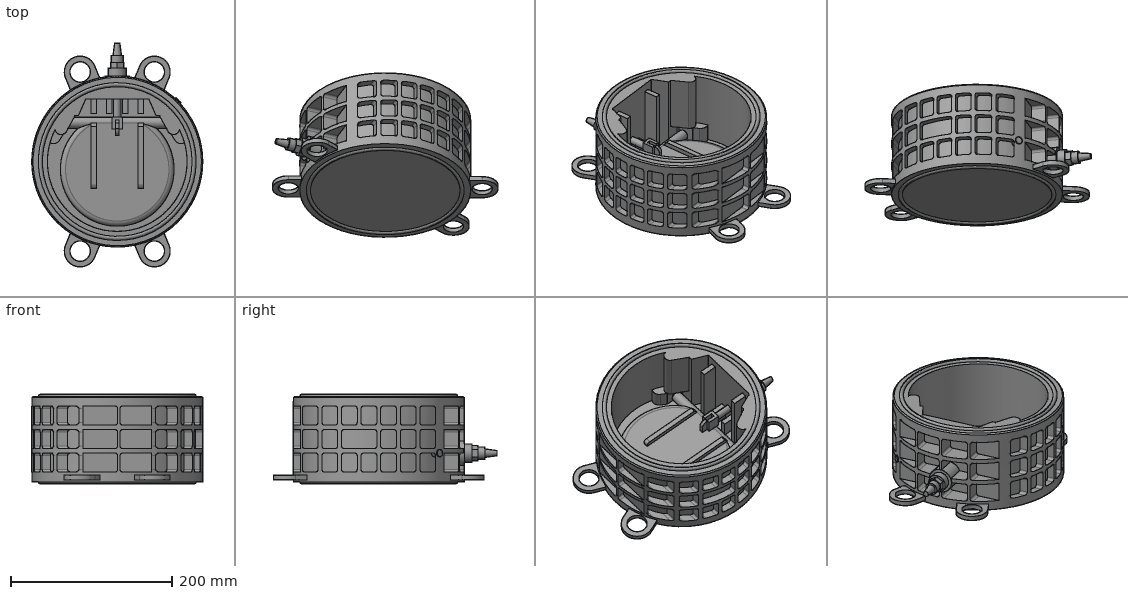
import cadquery as cq
import math

outer_radius = 106.0
body_height = 106.0
rim_chamfer = 1.7
bore_radius = 86.5
bead_outer_radius = 195.7 / 2
bead_inner_radius = 185.5 / 2
floor_z = -40.2
top_z = body_height / 2
bead_section_radius = (bead_outer_radius - bead_inner_radius) / 2
bead_center_radius = (bead_outer_radius + bead_inner_radius) / 2

rear_wall_y = 77.5
rear_wall_half_width = 39.0
shoulder_y = 57.2
shoulder_inner_x = 48.0
shoulder_outer_x = 52.2
ledge_z = -17.8
hinge_seat_half_length = 66.5
nose_start = (-62.7, 37.7)
nose_tip = (-71.0, 33.5)
nose_end = (-77.2, 40.5)
pad_start_y = 34.5
pad_corner = (-71.3, 26.6)
pad_round = (-76.0, 22.8)
pad_end = (-82.7, 23.0)
rear_recess_y = 55.0
rear_recess_depth = 4.2
overlap = 2.2

pocket_height = 23.5
pocket_corner_radius = 3.3
row_pitch = 29.1
pocket_rows = (-row_pitch, 0, row_pitch)
side_rib = 4.7
side_column_steps = (-3.5, -2.5, -1.5, -0.5, 0.5, 1.5, 2.5)
pocket_floor_radius = 97.1
side_pitch = pocket_floor_radius / 4
pocket_reach = outer_radius + 11.0
end_rib = 3.0
front_rib_x = 2.0
rear_pocket_floor_y = 81.0
rear_rib_x = 36.0
front_ribs = (front_rib_x,)
rear_ribs = (-rear_rib_x, 0, rear_rib_x)

lug_angle = 22.5
lug_center_radius = 120.2
lug_radius = 19.7
lug_hole_radius = 12.5
lug_thickness = 5.8
lug_bottom_z = -50.5

plate_thickness = 6.5
plate_end_y = 59.5
outer_plate_x = 29.1
outer_plate_top_z = 41.5
inner_plate_x = 10.0
inner_plate_top_z = -21.6

fitting_z = -17.5
rod_diameter = 9.2
boss_diameter = 30.5
boss_end_y = outer_radius
collar_diameter = 22.8
collar_end_y = 115.7
hex_width = 16.7
hex_end_y = 123.0
neck_diameter = 15.3
neck_end_y = 131.5
barb_base_diameter = 10.8
barb_tip_diameter = 6.7
tip_y = 146.8
fork_width = 12.5
fork_rear_y = 55.2
fork_front_y = 40.2
fork_slot_rear_y = 51.3

stud_diameter = 9.2
stud_reach = 107.5
stud_angle = 45

flap_radius = 70.5
flap_edge_radius = 6.5
flap_center_y = -9.7
hinge_diameter = 13.5
hinge_y = 47.7
hinge_z = floor_z + hinge_diameter / 2
flap_top_z = floor_z + hinge_diameter
fork_height = 2 * (fitting_z - flap_top_z)
flap_rib_x = 29.1
flap_rib_width = 6.5
flap_rib_front_y = -33.3
flap_rib_height = 5.8
flap_rib_end = 4.2
shaft_chamfer = 1.0
lever_width = 4.5
lever_front_y = 32.5
lever_slope_top_y = 41.0
lever_top_z = -10.0
lever_round = 7.0


def box(x_range, y_range, z_range):
    """Box between two limits along each axis."""
    size = [high - low for low, high in (x_range, y_range, z_range)]
    low_corner = (x_range[0], y_range[0], z_range[0])
    return cq.Workplane("XY").box(*size, centered=False).translate(low_corner)


def cylinder_z(radius, bottom, top):
    """Upright cylinder on the housing axis."""
    return cq.Workplane("XY").workplane(offset=bottom).circle(radius).extrude(top - bottom)


def cylinder_y(diameter, start, end):
    """Cylinder along Y on the axis of the air fitting."""
    plane = cq.Workplane("XZ", origin=(0, start, fitting_z))
    return plane.circle(diameter / 2).extrude(start - end)


def make_bead(z):
    """Full ring whose outer half stands proud of an end face."""
    section = cq.Workplane("XZ").center(bead_center_radius, z).circle(bead_section_radius)
    return section.revolve(360, (-bead_center_radius, 0, 0), (-bead_center_radius, 1, 0))


def rear_block_half():
    """Solid left of the rear opening, running into the shell behind the bore."""
    buried_radius = bore_radius + overlap
    nose_root_x = nose_end[0] - overlap
    nose_root_y = math.sqrt(buried_radius**2 - nose_root_x**2)
    diagonal = buried_radius / math.sqrt(2)
    profile = (
        cq.Workplane("XY", origin=(0, 0, floor_z))
        .moveTo(0, buried_radius)
        .lineTo(0, rear_wall_y)
        .lineTo(-rear_wall_half_width, rear_wall_y)
        .lineTo(-shoulder_inner_x, shoulder_y)
        .lineTo(-shoulder_outer_x, shoulder_y)
        .lineTo(*nose_start)
        .threePointArc(nose_tip, nose_end)
        .lineTo(nose_root_x, nose_root_y)
        .threePointArc((-diagonal, diagonal), (0, buried_radius))
        .close()
    )
    return profile.extrude(top_z - floor_z)


def hinge_pad():
    """Low pad below the nose, at the end of the hinge seat."""
    profile = (
        cq.Workplane("XY", origin=(0, 0, floor_z))
        .moveTo(-hinge_seat_half_length, shoulder_y)
        .lineTo(-hinge_seat_half_length, pad_start_y)
        .lineTo(*pad_corner)
        .threePointArc(pad_round, pad_end)
        .lineTo(-bore_radius, pad_end[1])
        .lineTo(-bore_radius, pad_start_y)
        .lineTo(*nose_end)
        .close()
    )
    return profile.extrude(ledge_z - floor_z)


def rear_recess():
    """Shallow recess in the floor between the hinge shaft and the rear wall."""
    profile = (
        cq.Workplane("XY", origin=(0, 0, floor_z))
        .moveTo(-shoulder_outer_x, rear_recess_y)
        .lineTo(-shoulder_outer_x, shoulder_y)
        .lineTo(-shoulder_inner_x, shoulder_y)
        .lineTo(-rear_wall_half_width, rear_wall_y)
        .lineTo(rear_wall_half_width, rear_wall_y)
        .lineTo(shoulder_inner_x, shoulder_y)
        .lineTo(shoulder_outer_x, shoulder_y)
        .lineTo(shoulder_outer_x, rear_recess_y)
        .close()
    )
    return profile.extrude(-rear_recess_depth)


def rear_block():
    """Both halves of the thick rear part, with the hinge seat cut under them."""
    half = rear_block_half()
    seat = box((-hinge_seat_half_length, 0), (0, shoulder_y), (floor_z, ledge_z))
    half = half.cut(seat).union(hinge_pad())
    return half.union(half.mirror("YZ"))


def rounded_pocket(x_range, y_range, row_z, direction):
    """Pocket tool with rounded corners along its cutting direction."""
    z_range = (row_z - pocket_height / 2, row_z + pocket_height / 2)
    return box(x_range, y_range, z_range).edges("|" + direction).fillet(pocket_corner_radius)


def cut_pockets(body, pockets):
    """Cut a list of separate pocket tools out of the housing at once."""
    return body.cut(cq.Workplane(cq.Compound.makeCompound([pocket.val() for pocket in pockets])))


def cut_side_pockets(body):
    """Pockets cut along X down to a round floor, on both sides."""
    core = cylinder_z(pocket_floor_radius, -top_z, top_z)
    half_width = (side_pitch - side_rib) / 2
    pockets = []
    for row_z in pocket_rows:
        for step in side_column_steps:
            y_range = (step * side_pitch - half_width, step * side_pitch + half_width)
            pocket = rounded_pocket((-pocket_reach, pocket_reach), y_range, row_z, "X")
            pockets.append(pocket.cut(core))
    return cut_pockets(body, pockets)


def cut_wide_pocket(body):
    """Double-width pocket in the middle row of the +X side."""
    core = cylinder_z(pocket_floor_radius, -top_z, top_z)
    y_range = (-2 * side_pitch + side_rib / 2, -side_rib / 2)
    pocket = rounded_pocket((0, pocket_reach), y_range, 0, "X")
    return body.cut(pocket.cut(core))


def cut_end_pockets(body, y_range, rib_places):
    """Flat-floored pockets cut along Y and parted by upright ribs."""
    limits = [-pocket_reach]
    for x in rib_places:
        limits += [x - end_rib / 2, x + end_rib / 2]
    limits.append(pocket_reach)
    pockets = []
    for row_z in pocket_rows:
        for x_range in zip(limits[::2], limits[1::2]):
            pockets.append(rounded_pocket(x_range, y_range, row_z, "Y"))
    return cut_pockets(body, pockets)


def make_lug():
    """Lug pointing along -Y, with its shank running into the shell."""
    shank_length = lug_center_radius - bead_inner_radius
    start = cq.Workplane("XY", origin=(0, -lug_center_radius, lug_bottom_z))
    shank = start.center(0, shank_length / 2).rect(2 * lug_radius, shank_length).extrude(lug_thickness)
    return shank.union(start.circle(lug_radius).extrude(lug_thickness))


def add_lugs(body):
    """Four lugs, two in front and two behind, each with a through hole."""
    lug = make_lug().cut(
        cq.Workplane("XY", origin=(0, -lug_center_radius, lug_bottom_z))
        .circle(lug_hole_radius)
        .extrude(lug_thickness)
    )
    for angle in (-lug_angle, lug_angle, 180 - lug_angle, 180 + lug_angle):
        body = body.union(lug.rotate((0, 0, 0), (0, 0, 1), angle))
    return body


def rear_plates():
    """Two tall outer plates and two low inner plates on the rear wall."""
    foot_z = floor_z - rear_recess_depth
    plates = []
    for x, plate_top in ((outer_plate_x, outer_plate_top_z), (inner_plate_x, inner_plate_top_z)):
        for center in (-x, x):
            x_range = (center - plate_thickness / 2, center + plate_thickness / 2)
            plates.append(box(x_range, (plate_end_y, rear_wall_y + overlap), (foot_z, plate_top)))
    return plates


def make_stud():
    """Short round stud on the outside of the shell."""
    stud = cq.Workplane("YZ", origin=(pocket_floor_radius, 0, fitting_z)).circle(stud_diameter / 2)
    return stud.extrude(stud_reach - pocket_floor_radius).rotate((0, 0, 0), (0, 0, 1), stud_angle)


def make_housing():
    body = cylinder_z(outer_radius, -top_z, top_z).faces(">Z").edges().chamfer(rim_chamfer)
    body = body.cut(cylinder_z(bore_radius, floor_z, top_z))
    body = body.union(rear_block())
    body = body.cut(rear_recess())
    body = cut_side_pockets(body)
    body = cut_wide_pocket(body)
    body = cut_end_pockets(body, (-pocket_reach, -pocket_floor_radius), front_ribs)
    body = cut_end_pockets(body, (rear_pocket_floor_y, pocket_reach), rear_ribs)
    for plate in rear_plates():
        body = body.union(plate)
    body = body.union(cylinder_y(boss_diameter, rear_pocket_floor_y - overlap, boss_end_y))
    body = body.union(make_stud())
    body = add_lugs(body)
    for z in (-top_z, top_z):
        body = body.union(make_bead(z))
    return body.cut(cylinder_y(rod_diameter, fork_rear_y, boss_end_y))


def make_fitting():
    """Hose fitting outside the wall, rod through it and slotted fork at the inner end."""
    rod = cylinder_y(rod_diameter, fork_rear_y, boss_end_y)
    collar = cylinder_y(collar_diameter, boss_end_y, collar_end_y)
    hex_corners = hex_width / math.cos(math.pi / 6)
    nut = (
        cq.Workplane("XZ", origin=(0, collar_end_y, fitting_z))
        .transformed(rotate=(0, 0, 90))
        .polygon(6, hex_corners)
        .extrude(collar_end_y - hex_end_y)
    )
    neck = cylinder_y(neck_diameter, hex_end_y, neck_end_y)
    barb = (
        cq.Workplane("XZ", origin=(0, neck_end_y, fitting_z))
        .circle(barb_base_diameter / 2)
        .workplane(offset=neck_end_y - tip_y)
        .circle(barb_tip_diameter / 2)
        .loft()
    )
    fork_z = (fitting_z - fork_height / 2, fitting_z + fork_height / 2)
    fork = box((-fork_width / 2, fork_width / 2), (fork_front_y, fork_rear_y), fork_z)
    fork = fork.cut(box((-lever_width / 2, lever_width / 2), (fork_front_y, fork_slot_rear_y), fork_z))
    return rod.union(collar).union(nut).union(neck).union(barb).union(fork)


def flap_rib(x):
    """Rib along the flap with a round front end and a sloping end at the hinge."""
    rib_top = flap_top_z + flap_rib_height
    profile = (
        cq.Workplane("YZ", origin=(x - flap_rib_width / 2, 0, 0))
        .moveTo(flap_rib_front_y, hinge_z)
        .lineTo(flap_rib_front_y, rib_top)
        .lineTo(hinge_y - flap_rib_end, rib_top)
        .lineTo(hinge_y, flap_top_z)
        .lineTo(hinge_y, hinge_z)
        .close()
    )
    return profile.extrude(flap_rib_width).edges("|X and >Z and <Y").fillet(flap_rib_end)


def make_lever():
    """Thin lever standing on the hinge, sloping up through the fork to a round front."""
    profile = (
        cq.Workplane("YZ", origin=(-lever_width / 2, 0, 0))
        .moveTo(lever_front_y, hinge_z)
        .lineTo(lever_front_y, lever_top_z)
        .lineTo(lever_slope_top_y, lever_top_z)
        .lineTo(hinge_y, flap_top_z)
        .lineTo(hinge_y, hinge_z)
        .close()
    )
    return profile.extrude(lever_width).edges("|X and >Z and <Y").fillet(lever_round)


def make_flap():
    """Round flap with its hinge shaft, two ribs and the lever held by the fork."""
    disc = cylinder_z(flap_radius, floor_z, flap_top_z).faces(">Z").edges().fillet(flap_edge_radius)
    disc = disc.translate((0, flap_center_y, 0))
    disc = disc.cut(box((-flap_radius, flap_radius), (hinge_y, flap_radius), (floor_z, flap_top_z)))
    shaft = (
        cq.Workplane("YZ", origin=(-hinge_seat_half_length, hinge_y, hinge_z))
        .circle(hinge_diameter / 2)
        .extrude(2 * hinge_seat_half_length)
        .edges()
        .chamfer(shaft_chamfer)
    )
    flap = disc.union(shaft).union(make_lever())
    for x in (-flap_rib_x, flap_rib_x):
        flap = flap.union(flap_rib(x))
    return flap


housing = make_housing()
fitting = make_fitting()
flap = make_flap()

result = cq.Compound.makeCompound([housing.solids().val(), fitting.solids().val(), flap.solids().val()])